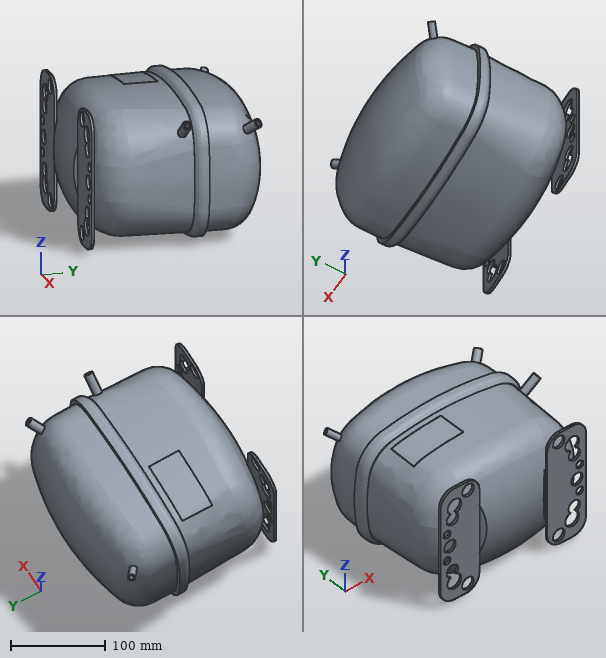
import cadquery as cq
import math


HALF_WIDTH = 109.0
HALF_HEIGHT = 75.2
SIDE_CROWN = 221.7
TOP_CROWN = 386.8
CORNER_RADIUS = 38.7
LID_END_CORNER_RADIUS = 47.2
POT_END_CORNER_RADIUS = 66.0
LID_HEIGHT = 76.5
POT_DEPTH = 132.5
DOME_LONG_RADIUS = 290.1
DOME_SHORT_RADIUS = 115.5
DOME_MARGIN = 18.9
DOME_BLEND = 33.0

FLANGE_OVERHANG = 5.2
FLANGE_LENGTH = 15.0
FLANGE_BEVEL = 5.2
FLANGE_SHOULDER = 5.7

LABEL_THICKNESS = 0.2
LABEL_LEFT = -81.5
LABEL_RIGHT = -12.5
LABEL_REAR = -22.6
LABEL_FRONT = -59.7

PLATE_INNER = 47.5
PLATE_OUTER = 101.7
PLATE_HALF_HEIGHT = 75.2
PLATE_CORNER = 18.9
PLATE_THICKNESS = 3.0
PLATE_REAR = -124.0
SEAT_INNER = 45.8
SEAT_WALL_RUN = 9.0

PLATE_HOLES = [
    (63.5, 63.2, 8.0),
    (82.3, 51.0, 9.7),
    (85.1, 35.4, 8.0),
    (92.7, 17.7, 5.0),
    (88.7, 0, 8.0),
]

PIPE_BORE_RATIO = 0.6
PIPE_LENGTH = 33.0
BORE_DEPTH = 14.2
SERVICE_RADIUS = 4.0
PORT_RADIUS = 5.0
LID_PIPE_AXIS = (1.0, 0.8, 0.8)
SERVICE_TIP = (-106.5, 55.5, 55.2)
LID_PORT_TIP = (106.4, 55.5, 56.5)
POT_PORT_TIP = (118.9, -26.5, 64.0)
POT_PORT_ANGLE = 35.0


def outline(growth, corner_radius, y):
    """Closed outline of the walls at one Y position, grown outwards by growth."""
    half_x = HALF_WIDTH + growth
    half_z = HALF_HEIGHT + growth
    corner_r = corner_radius + growth
    side_centre_x = half_x - SIDE_CROWN
    top_centre_z = half_z - TOP_CROWN
    side_reach = SIDE_CROWN - corner_r
    top_reach = TOP_CROWN - corner_r
    spacing = math.hypot(side_centre_x, top_centre_z)
    bearing = math.atan2(top_centre_z, -side_centre_x)
    along = (side_reach**2 + spacing**2 - top_reach**2) / (2 * spacing)
    turn = bearing + math.acos(along / side_reach)
    centre_x = side_centre_x + side_reach * math.cos(turn)
    centre_z = side_reach * math.sin(turn)
    top_turn = math.atan2(centre_z - top_centre_z, centre_x)

    def on_corner(angle):
        return centre_x + corner_r * math.cos(angle), centre_z + corner_r * math.sin(angle)

    side_x, side_z = on_corner(turn)
    middle_x, middle_z = on_corner((turn + top_turn) / 2)
    top_x, top_z = on_corner(top_turn)
    return (
        cq.Workplane("XZ", origin=(0, y, 0))
        .moveTo(-top_x, top_z)
        .threePointArc((0, half_z), (top_x, top_z))
        .threePointArc((middle_x, middle_z), (side_x, side_z))
        .threePointArc((half_x, 0), (side_x, -side_z))
        .threePointArc((middle_x, -middle_z), (top_x, -top_z))
        .threePointArc((0, -half_z), (-top_x, -top_z))
        .threePointArc((-middle_x, -middle_z), (-side_x, -side_z))
        .threePointArc((-half_x, 0), (-side_x, side_z))
        .threePointArc((-middle_x, middle_z), (-top_x, top_z))
        .close()
    )


def walls(growth, y_end, end_corner_radius):
    """Walls from the flange to y_end; the corners get rounder towards y_end."""
    start = outline(growth, CORNER_RADIUS, 0).val()
    end = outline(growth, end_corner_radius, y_end).val()
    return cq.Workplane(cq.Solid.makeLoft([start, end], True))


def dome(apex, direction):
    """Space under a double-curved dome with its apex on the Y axis."""
    reach = HALF_HEIGHT + DOME_MARGIN
    sag = DOME_SHORT_RADIUS - math.sqrt(DOME_SHORT_RADIUS**2 - reach**2)
    axis_y = apex - direction * DOME_LONG_RADIUS
    rim_y = apex - direction * sag
    profile = (
        cq.Workplane("YZ")
        .moveTo(axis_y, -reach)
        .lineTo(rim_y, -reach)
        .threePointArc((apex, 0), (rim_y, reach))
        .lineTo(axis_y, reach)
        .close()
    )
    return profile.revolve(360, (axis_y, 0), (axis_y, 1))


def half_shell(apex, end_corner_radius):
    """Walls closed by a dome, from the flange to apex."""
    direction = math.copysign(1, apex)
    closed = walls(0, apex, end_corner_radius).intersect(dome(apex, direction))
    dome_face = ">Y" if direction > 0 else "<Y"
    rim = closed.faces(dome_face).edges()
    return rim.fillet(DOME_BLEND)


def flange():
    band = outline(FLANGE_OVERHANG, CORNER_RADIUS, 0).extrude(FLANGE_LENGTH)
    band = band.faces("<Y").edges().chamfer(FLANGE_BEVEL)
    reach = HALF_WIDTH + 2 * FLANGE_OVERHANG
    bevel_start = FLANGE_BEVEL - FLANGE_LENGTH
    shoulder = cq.selectors.BoxSelector(
        (-reach, bevel_start - FLANGE_BEVEL / 2, -reach),
        (reach, bevel_start + FLANGE_BEVEL / 2, reach),
        boundingbox=True,
    )
    return band.edges(shoulder).fillet(FLANGE_SHOULDER)


def label():
    """Thin name label following the top wall."""
    sheet = walls(LABEL_THICKNESS, -POT_DEPTH, POT_END_CORNER_RADIUS)
    width = LABEL_RIGHT - LABEL_LEFT
    length = LABEL_REAR - LABEL_FRONT
    window = (
        cq.Workplane("XY")
        .center((LABEL_LEFT + LABEL_RIGHT) / 2, (LABEL_REAR + LABEL_FRONT) / 2)
        .rect(width, length)
        .extrude(HALF_HEIGHT + FLANGE_OVERHANG)
    )
    return sheet.intersect(window)


def seat(side):
    """Space cleared from the pot dome so that a foot plate lies flat on it."""
    depth = PLATE_REAR + POT_DEPTH
    return (
        cq.Workplane("XY", origin=(0, 0, -PLATE_HALF_HEIGHT))
        .moveTo(side * SEAT_INNER, PLATE_REAR)
        .lineTo(side * (SEAT_INNER - SEAT_WALL_RUN), PLATE_REAR - depth)
        .lineTo(side * PLATE_OUTER, PLATE_REAR - depth)
        .lineTo(side * PLATE_OUTER, PLATE_REAR)
        .close()
        .extrude(2 * PLATE_HALF_HEIGHT)
    )


def foot_plate(side):
    """Drilled flat plate; side is +1 for the +X foot and -1 for the -X foot."""
    middle_x = side * (PLATE_INNER + PLATE_OUTER) / 2
    plate = (
        cq.Workplane("XZ", origin=(0, PLATE_REAR, 0))
        .center(middle_x, 0)
        .rect(PLATE_OUTER - PLATE_INNER, 2 * PLATE_HALF_HEIGHT)
        .extrude(PLATE_THICKNESS)
        .edges("|Y")
        .fillet(PLATE_CORNER)
    )
    for x, height, radius in PLATE_HOLES:
        holes = (
            cq.Workplane("XZ", origin=(0, PLATE_REAR, 0))
            .pushPoints([(side * x, z) for z in {height, -height}])
            .circle(radius)
            .extrude(PLATE_THICKNESS)
        )
        plate = plate.cut(holes)
    return plate


def pipe(tip, outward, radius, length):
    """Cylinder of the given length ending at tip and pointing outward."""
    tip_point = cq.Vector(*tip)
    axis = cq.Vector(*outward).normalized()
    return cq.Workplane(cq.Solid.makeCylinder(radius, length, tip_point, axis * -1))


pot_port_axis = (
    math.cos(math.radians(POT_PORT_ANGLE)),
    0,
    math.sin(math.radians(POT_PORT_ANGLE)),
)
service_axis = (-LID_PIPE_AXIS[0], LID_PIPE_AXIS[1], LID_PIPE_AXIS[2])
pipes = [
    (SERVICE_TIP, service_axis, SERVICE_RADIUS),
    (LID_PORT_TIP, LID_PIPE_AXIS, PORT_RADIUS),
    (POT_PORT_TIP, pot_port_axis, PORT_RADIUS),
]

lid = half_shell(LID_HEIGHT, LID_END_CORNER_RADIUS)
pot = half_shell(-POT_DEPTH, POT_END_CORNER_RADIUS)
result = lid.union(pot)
for side in (-1, 1):
    result = result.cut(seat(side))
    result = result.union(foot_plate(side))
result = result.union(flange()).union(label())
for tip, outward, radius in pipes:
    result = result.union(pipe(tip, outward, radius, PIPE_LENGTH))
for tip, outward, radius in pipes:
    result = result.cut(pipe(tip, outward, radius * PIPE_BORE_RATIO, BORE_DEPTH))